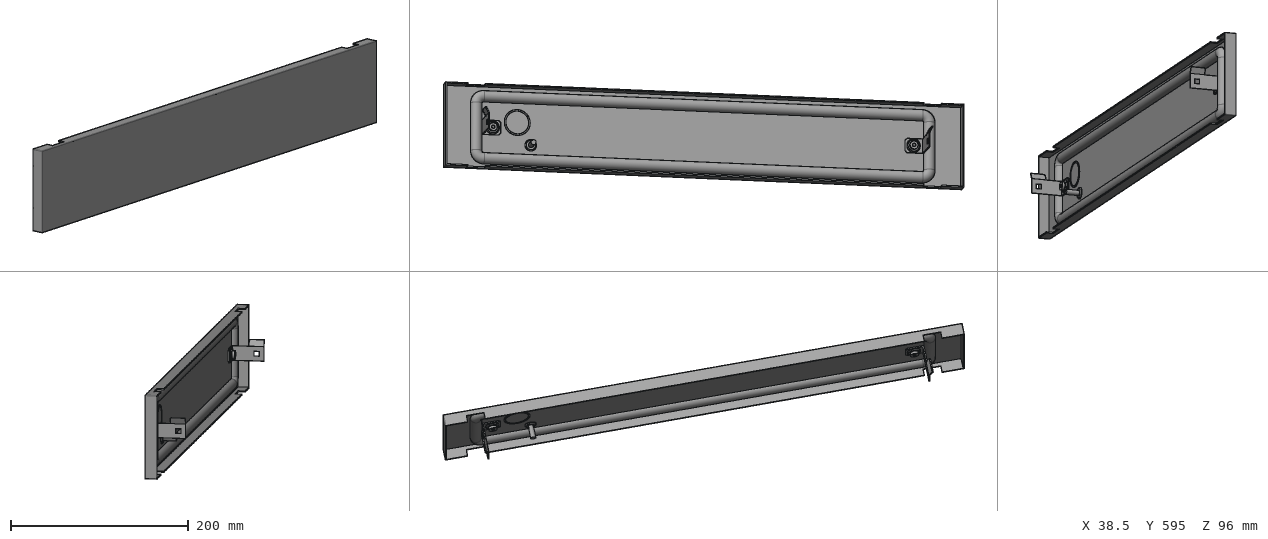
import cadquery as cq

LENGTH = 595.0
HEIGHT = 96.0
PANEL_DEPTH = 13.5
SHEET = 1.5
BEND_RADIUS = 0.5
FLOOR_X = -SHEET

NOTCH_INNER_Y = 251.5
NOTCH_OUTER_Y = 272.0
NOTCH_FLOOR_X = -6.0

CORD_RADIUS = 6.5
GASKET_LENGTH = 533.0
GASKET_HEIGHT = 84.5
GASKET_CORNER_RADIUS = 15.0

BRACKET_SHEET = 1.5
BRACKET_WIDTH = 16.5
ARM_OUTER_Y = GASKET_LENGTH / 2 - 2 * CORD_RADIUS
ARM_TIP_X = -38.5
FOOT_LENGTH = 21.5
FOOT_CORNER = 2.5
SLOT_LENGTH = 6.0
SLOT_HEIGHT = 5.5
SLOT_X = -30.5
TAB_LENGTH = 17.0
TAB_RISE = 7.0
TAB_LEAN = 3.5
TAB_END_CHAMFER = 1.0

SCREW_Y = 241.5
SCREW_SHANK_RADIUS = 3.0
FLANGE_RADIUS = 8.0
FLANGE_HEIGHT = 2.0
FLANGE_BEVEL = 1.0
HEAD_RADIUS = 5.0
HEAD_HEIGHT = 3.0
SOCKET_RADIUS = 2.0
SOCKET_DEPTH = 2.0

LABEL_Y = 213.0
LABEL_Z = 7.0
LABEL_RADIUS = 15.0
LABEL_THICKNESS = 0.3
LABEL_RIM_WIDTH = 2.0
LABEL_RIM_HEIGHT = 0.3

STUD_Y = 197.5
STUD_Z = -18.5
STUD_RADIUS = 3.0
STUD_TIP_X = -18.5
WASHER_RADIUS = 6.5
WASHER_HEIGHT = 2.0
WASHER_BEVEL = 1.0

SIDES = (1, -1)


def floor_plane(y, z, x=FLOOR_X):
    """Workplane at the given x, centred on (y, z), facing the open side (-X)."""
    return cq.Workplane(cq.Plane(origin=(x, y, z), xDir=(0, -1, 0), normal=(-1, 0, 0)))


def make_panel():
    panel = floor_plane(0, 0, 0).rect(LENGTH, HEIGHT).extrude(PANEL_DEPTH)
    panel = panel.edges("|X or >X").fillet(BEND_RADIUS)
    pocket = floor_plane(0, 0).rect(LENGTH - 2 * SHEET, HEIGHT - 2 * SHEET).extrude(PANEL_DEPTH)
    panel = panel.cut(pocket)
    notch_width = NOTCH_OUTER_Y - NOTCH_INNER_Y
    notch_y = (NOTCH_OUTER_Y + NOTCH_INNER_Y) / 2
    for side in SIDES:
        notch = floor_plane(side * notch_y, 0, NOTCH_FLOOR_X).rect(notch_width, 2 * HEIGHT)
        panel = panel.cut(notch.extrude(PANEL_DEPTH))
    return panel


def make_gasket():
    block = (
        floor_plane(0, 0)
        .rect(GASKET_LENGTH - 2 * CORD_RADIUS, GASKET_HEIGHT - 2 * CORD_RADIUS)
        .extrude(CORD_RADIUS)
        .edges("|X")
        .fillet(GASKET_CORNER_RADIUS - CORD_RADIUS)
    )
    centreline = block.faces(">X").wires().val()
    profile_z = GASKET_HEIGHT / 2 - CORD_RADIUS
    profile = (
        cq.Workplane("XZ", origin=(FLOOR_X, 0, profile_z))
        .moveTo(0, -CORD_RADIUS)
        .threePointArc((-CORD_RADIUS, 0), (0, CORD_RADIUS))
        .close()
    )
    return profile.sweep(cq.Workplane(centreline), transition="right")


def make_bracket(side):
    arm_length = FLOOR_X - ARM_TIP_X
    arm_inner_y = ARM_OUTER_Y - BRACKET_SHEET
    arm = cq.Workplane("XY").box(arm_length, BRACKET_SHEET, BRACKET_WIDTH, centered=(False, False, True))
    arm = arm.translate((ARM_TIP_X, arm_inner_y, 0))
    slot = cq.Workplane("XZ", origin=(SLOT_X, 0, 0)).rect(SLOT_LENGTH, SLOT_HEIGHT).extrude(-LENGTH)
    foot = (
        floor_plane(ARM_OUTER_Y - FOOT_LENGTH / 2, 0)
        .rect(FOOT_LENGTH, BRACKET_WIDTH)
        .extrude(BRACKET_SHEET)
        .edges("|X and <Y")
        .chamfer(FOOT_CORNER)
    )
    tab_base_z = BRACKET_WIDTH / 2
    tab = (
        cq.Workplane("YZ", origin=(ARM_TIP_X, 0, 0))
        .moveTo(arm_inner_y, tab_base_z)
        .lineTo(ARM_OUTER_Y, tab_base_z)
        .lineTo(ARM_OUTER_Y + TAB_LEAN, tab_base_z + TAB_RISE)
        .lineTo(arm_inner_y + TAB_LEAN, tab_base_z + TAB_RISE)
        .close()
        .extrude(TAB_LENGTH)
        .faces(">X")
        .edges(">Y")
        .chamfer(TAB_END_CHAMFER)
    )
    screw_hole = floor_plane(SCREW_Y, 0).circle(SCREW_SHANK_RADIUS).extrude(BRACKET_SHEET)
    bracket = arm.union(foot).union(tab).cut(slot).cut(screw_hole)
    return bracket if side > 0 else bracket.mirror("XZ")


def make_screw(side):
    y = side * SCREW_Y
    foot_top_x = FLOOR_X - BRACKET_SHEET
    flange_top_x = foot_top_x - FLANGE_HEIGHT
    head_top_x = flange_top_x - HEAD_HEIGHT
    shank = floor_plane(y, 0).circle(SCREW_SHANK_RADIUS).extrude(BRACKET_SHEET)
    flange = floor_plane(y, 0, foot_top_x).circle(FLANGE_RADIUS).extrude(FLANGE_HEIGHT)
    flange = flange.faces("<X").edges().chamfer(FLANGE_BEVEL)
    head = floor_plane(y, 0, flange_top_x).circle(HEAD_RADIUS).extrude(HEAD_HEIGHT)
    socket = floor_plane(y, 0, head_top_x).circle(SOCKET_RADIUS).extrude(-SOCKET_DEPTH)
    return shank.union(flange).union(head).cut(socket)


def make_label():
    disc = floor_plane(LABEL_Y, LABEL_Z).circle(LABEL_RADIUS).extrude(LABEL_THICKNESS)
    rim = (
        floor_plane(LABEL_Y, LABEL_Z, FLOOR_X - LABEL_THICKNESS)
        .circle(LABEL_RADIUS)
        .circle(LABEL_RADIUS - LABEL_RIM_WIDTH)
        .extrude(LABEL_RIM_HEIGHT)
    )
    return disc.union(rim)


def make_stud():
    return floor_plane(STUD_Y, STUD_Z).circle(STUD_RADIUS).extrude(FLOOR_X - STUD_TIP_X)


def make_washer():
    disc = floor_plane(STUD_Y, STUD_Z).circle(WASHER_RADIUS).extrude(WASHER_HEIGHT)
    bore = floor_plane(STUD_Y, STUD_Z).circle(STUD_RADIUS).extrude(WASHER_HEIGHT)
    return disc.faces("<X").edges().chamfer(WASHER_BEVEL).cut(bore)


panel = make_panel()
gasket = make_gasket()
brackets = [make_bracket(side) for side in SIDES]
screws = [make_screw(side) for side in SIDES]
label = make_label()
stud = make_stud()
washer = make_washer()

result = cq.Compound.makeCompound(
    [panel.val(), gasket.val()]
    + [bracket.val() for bracket in brackets]
    + [screw.val() for screw in screws]
    + [label.val(), stud.val(), washer.val()]
)